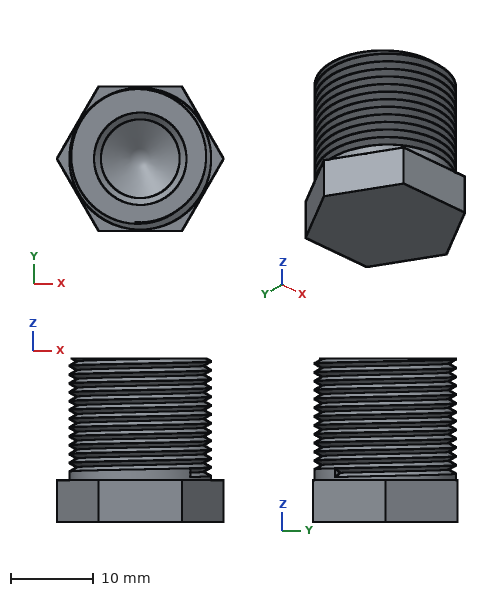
import cadquery as cq
import math

INCH = 25.4

head_sides = 6
across_flats = 0.688 * INCH
head_height = 0.200 * INCH

shank_radius = 0.675 * INCH / 2
shank_length = 0.580 * INCH
part_height = head_height + shank_length

pitch = 0.042 * INCH
thread_angle = math.radians(60)
turn_gap = 0.03
flank_overhang = 0.01
thread_start_height = 0.889
thread_start_angle = -45

bore_radius = 0.375 * INCH / 2
mouth_radius = 0.440 * INCH / 2
mouth_depth = mouth_radius - bore_radius
bore_depth = 0.580 * INCH
drill_point_angle = math.radians(118)


def make_head():
    across_corners = across_flats / math.cos(math.pi / head_sides)
    return cq.Workplane("XY").polygon(head_sides, across_corners).extrude(head_height)


def make_shank():
    return cq.Workplane("XY").workplane(offset=head_height).circle(shank_radius).extrude(shank_length)


def make_thread_groove():
    """V-groove winding up the shank and running out through its top face."""
    half_width = (pitch - turn_gap) / 2
    flank_radius = shank_radius + flank_overhang
    root_radius = flank_radius - half_width / math.tan(thread_angle / 2)
    helix_height = shank_length - thread_start_height + pitch

    def edge_helix(radius, height):
        helix = cq.Wire.makeHelix(pitch, helix_height, radius)
        return helix.translate(cq.Vector(0, 0, height)).Edges()[0]

    helices = [
        edge_helix(root_radius, 0),
        edge_helix(flank_radius, half_width),
        edge_helix(flank_radius, -half_width),
    ]
    faces = []
    for index, helix in enumerate(helices):
        faces.append(cq.Face.makeRuledSurface(helices[index - 1], helix))
    for end_points in (
        [helix.startPoint() for helix in helices],
        [helix.endPoint() for helix in helices],
    ):
        end_outline = cq.Wire.makePolygon(end_points, close=True)
        faces.append(cq.Face.makeFromWires(end_outline))

    groove = cq.Workplane(cq.Solid.makeSolid(cq.Shell.makeShell(faces)))
    groove = groove.rotate((0, 0, 0), (0, 0, 1), thread_start_angle)
    return groove.translate((0, 0, head_height + thread_start_height))


def make_bore():
    """Bore with a conical drill point below and a chamfered mouth above."""
    bore_floor = part_height - bore_depth
    point_length = bore_radius / math.tan(drill_point_angle / 2)
    return (
        cq.Workplane("XZ")
        .moveTo(0, part_height)
        .lineTo(mouth_radius, part_height)
        .lineTo(bore_radius, part_height - mouth_depth)
        .lineTo(bore_radius, bore_floor)
        .lineTo(0, bore_floor - point_length)
        .close()
        .revolve(360, (0, 0, 0), (0, 1, 0))
    )


threaded_shank = make_shank().cut(make_thread_groove())
result = make_head().union(threaded_shank).cut(make_bore())